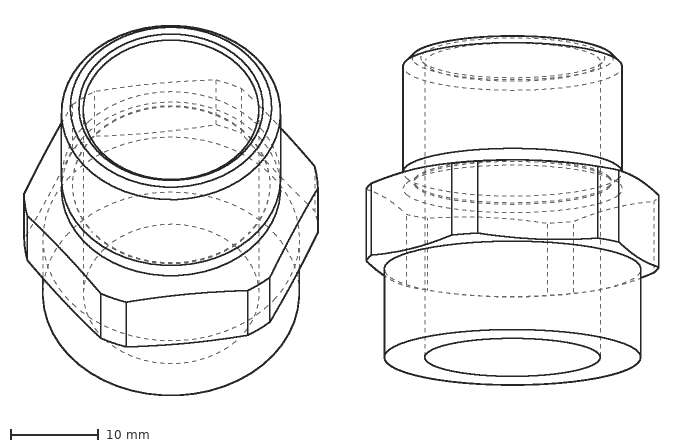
import cadquery as cq
import math

total_height = 35.0
hex_bottom = 10.32
hex_top = 19.7
neck_bottom = 20.4
neck_top = 20.58
spigot_bottom = 21.63

collar_radius = 14.63
spigot_radius = 12.5
neck_radius = 11.27
across_flats = 30.5
corner_radius = 16.75
hex_top_radius = 15.2
bore_radius = 10.0

spigot_chamfer = 1.0
bore_chamfer = 0.5
hex_chamfer_angle = 15.0


def revolve_profile(points):
    """Revolve a closed (radius, height) outline about the Z axis."""
    return cq.Workplane("XZ").polyline(points).close().revolve(360, (0, 0), (0, 1))


def make_body():
    """Lower collar, undercut neck and chamfered upper spigot, still solid."""
    return revolve_profile([
        (0, 0),
        (collar_radius, 0),
        (collar_radius, hex_top),
        (spigot_radius, hex_top),
        (neck_radius, neck_bottom),
        (neck_radius, neck_top),
        (spigot_radius, spigot_bottom),
        (spigot_radius, total_height - spigot_chamfer),
        (spigot_radius - spigot_chamfer, total_height),
        (0, total_height),
    ])


def make_hex():
    """Hexagon with flats facing X, rounded corners and conical ends; the lower cone meets the collar."""
    corner_diameter = across_flats / math.cos(math.radians(30))
    prism = (
        cq.Workplane("XY", origin=(0, 0, hex_bottom))
        .polygon(6, corner_diameter)
        .extrude(hex_top - hex_bottom)
        .rotate((0, 0, 0), (0, 0, 1), 30)
    )
    chamfer_slope = math.tan(math.radians(hex_chamfer_angle))
    top_drop = (corner_radius - hex_top_radius) * chamfer_slope
    bottom_rise = (corner_radius - collar_radius) * chamfer_slope
    turned_blank = revolve_profile([
        (0, hex_bottom),
        (collar_radius, hex_bottom),
        (corner_radius, hex_bottom + bottom_rise),
        (corner_radius, hex_top - top_drop),
        (hex_top_radius, hex_top),
        (0, hex_top),
    ])
    return prism.intersect(turned_blank)


def make_bore():
    """Through bore with a chamfered upper mouth."""
    return revolve_profile([
        (0, 0),
        (bore_radius, 0),
        (bore_radius, total_height - bore_chamfer),
        (bore_radius + bore_chamfer, total_height),
        (0, total_height),
    ])


result = make_body().union(make_hex()).cut(make_bore())